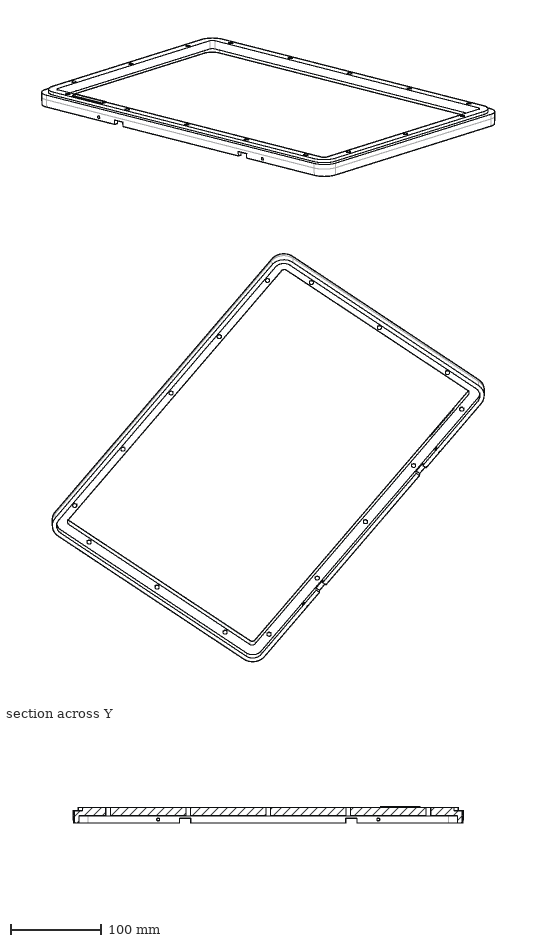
import cadquery as cq

length = 432.5
width = 291.0
overall_height = 18.0
parting_height = 8.5
ledge_height = 14.0
frame_height = 17.5
draft_angle = 3.0
outer_radius = 17.0

ring_inset = 5.5
ring_radius = 16.5

window_inset = 16.0
window_radius = 4.0

rebate_depth = 7.8
rebate_wall = 5.0

screw_diameter = 4.8
long_side_screw_inset = 11.0
short_side_screw_inset = 11.5
long_side_pitch = 88.5
long_side_count = 5
short_side_pitch = 94.2
short_side_count = 3

notch_width = 12.0
notch_height = 5.0
notch_offset = 92.0
cross_hole_diameter = 3.0
cross_hole_height = 4.0
cross_hole_offset = 122.0

pad_length = 44.0
pad_width = 7.0
pad_center_x = -146.0
pad_center_y = -134.0


def rounded_block(inset, radius, bottom, height, taper=0):
    """Rounded rectangle set in from the outer edge, extruded upwards or downwards."""
    outline = cq.Sketch().rect(length - 2 * inset, width - 2 * inset).vertices().fillet(radius)
    return cq.Workplane("XY", origin=(0, 0, bottom)).placeSketch(outline).extrude(height, taper=taper)


def make_body():
    """Two drafted bands meeting at the parting line, topped by the raised ring."""
    lower_band = rounded_block(0, outer_radius, parting_height, -parting_height, draft_angle)
    upper_band = rounded_block(0, outer_radius, parting_height, ledge_height - parting_height, draft_angle)
    ring = rounded_block(ring_inset, ring_radius, parting_height, frame_height - parting_height)
    return lower_band.union(upper_band).union(ring)


def make_screw_holes():
    """Cylinders for the screw holes along all four sides."""
    hole_x = length / 2 - short_side_screw_inset
    hole_y = width / 2 - long_side_screw_inset
    plane = cq.Workplane("XY")
    long_sides = plane.rarray(long_side_pitch, 2 * hole_y, long_side_count, 2)
    short_sides = plane.rarray(2 * hole_x, short_side_pitch, 2, short_side_count)
    long_side_holes = long_sides.circle(screw_diameter / 2).extrude(frame_height)
    return long_side_holes.union(short_sides.circle(screw_diameter / 2).extrude(frame_height))


def make_wall_cuts():
    """Notches and cross holes passing through the -Y wall into the rebate."""
    wall_plane = cq.Workplane("XZ", origin=(0, -width / 2, 0))
    cut_depth = -2 * rebate_wall
    notches = (
        wall_plane.pushPoints([(side * notch_offset, notch_height / 2) for side in (-1, 1)])
        .rect(notch_width, notch_height)
        .extrude(cut_depth)
    )
    cross_holes = (
        wall_plane.pushPoints([(side * cross_hole_offset, cross_hole_height) for side in (-1, 1)])
        .circle(cross_hole_diameter / 2)
        .extrude(cut_depth)
    )
    return notches.union(cross_holes)


def make_label_pad():
    """Thin rectangular pad reaching the overall height."""
    pad_height = overall_height - frame_height
    return cq.Workplane("XY", origin=(pad_center_x, pad_center_y, frame_height)).box(
        pad_length, pad_width, pad_height, centered=(True, True, False)
    )


window = rounded_block(window_inset, window_radius, 0, frame_height)
rebate = rounded_block(rebate_wall, outer_radius - rebate_wall, 0, rebate_depth)

result = (
    make_body()
    .cut(window)
    .cut(rebate)
    .cut(make_screw_holes())
    .cut(make_wall_cuts())
    .union(make_label_pad())
)